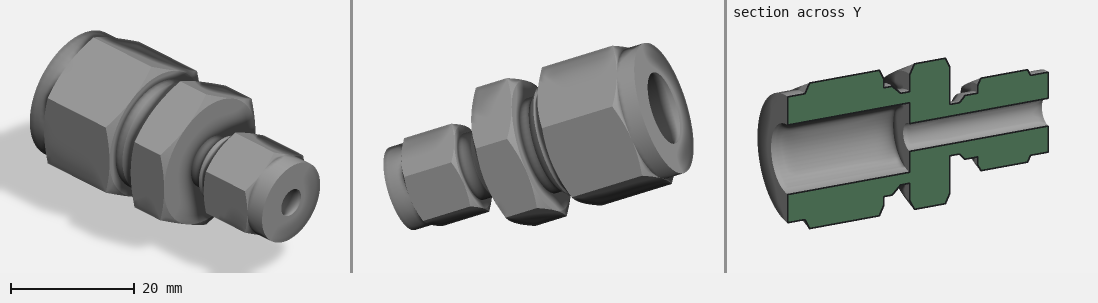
import cadquery as cq
import math

large_flats = 22.0
small_flats = 14.0

large_nut_start = 3.1
large_nut_end = 17.4
large_collar_end = 18.85
large_neck_start = 20.4
body_hex_start = 22.0
body_hex_end = 29.3
small_neck_end = 30.95
small_collar_start = 31.95
small_nut_start = 34.25
small_nut_end = 43.8
total_length = 47.0

large_collar_diameter = 19.05
large_neck_diameter = 16.05
small_neck_diameter = 9.02
small_collar_diameter = 11.2

socket_diameter = 12.05
socket_depth = body_hex_start
passage_diameter = 4.75

chamfer_angle = 26


def revolve_profile(points):
    """Revolve (x, radius) points around the X axis."""
    return cq.Workplane("XY").polyline(points).close().revolve(360, (0, 0, 0), (1, 0, 0))


def cylinder(start, end, diameter):
    return cq.Workplane("YZ", origin=(start, 0, 0)).circle(diameter / 2).extrude(end - start)


def chamfered_hexagon(start, end, flats):
    """Hexagon with corners at +Z and -Z, its corners turned down at both ends."""
    flat_radius = flats / 2
    corner_radius = flat_radius / math.cos(math.radians(30))
    chamfer_length = (corner_radius - flat_radius) * math.tan(math.radians(chamfer_angle))
    prism = (
        cq.Workplane("YZ", origin=(start, 0, 0))
        .transformed(rotate=(0, 0, 90))
        .polygon(6, 2 * corner_radius)
        .extrude(end - start)
    )
    turned_envelope = revolve_profile([
        (start, 0),
        (start, flat_radius),
        (start + chamfer_length, corner_radius),
        (end - chamfer_length, corner_radius),
        (end, flat_radius),
        (end, 0),
    ])
    return prism.intersect(turned_envelope)


core = revolve_profile([
    (0, 0),
    (0, large_flats / 2),
    (large_nut_start, large_flats / 2),
    (large_nut_start, large_collar_diameter / 2),
    (large_collar_end, large_collar_diameter / 2),
    (large_neck_start, large_neck_diameter / 2),
    (body_hex_start, large_neck_diameter / 2),
    (body_hex_start, small_neck_diameter / 2),
    (small_neck_end, small_neck_diameter / 2),
    (small_collar_start, small_collar_diameter / 2),
    (small_nut_end, small_collar_diameter / 2),
    (small_nut_end, small_flats / 2),
    (total_length, small_flats / 2),
    (total_length, 0),
])

large_nut = chamfered_hexagon(large_nut_start, large_nut_end, large_flats)
body_hexagon = chamfered_hexagon(body_hex_start, body_hex_end, large_flats)
small_nut = chamfered_hexagon(small_nut_start, small_nut_end, small_flats)

solid_fitting = core.union(large_nut).union(body_hexagon).union(small_nut)

socket = cylinder(0, socket_depth, socket_diameter)
passage = cylinder(0, total_length, passage_diameter)

result = solid_fitting.cut(socket).cut(passage)